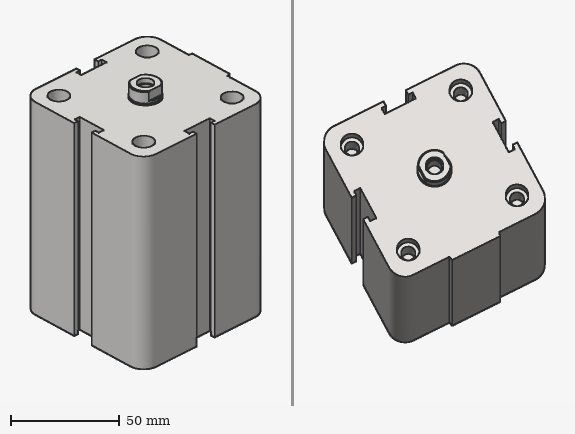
import cadquery as cq

SIDE = 80.0
HOUSING_HEIGHT = 115.0
CORNER_RADIUS = 8.5

RIB_HEIGHT = 2.0
RIB_BASE_WIDTH = 25.8
RIB_TOP_WIDTH = 25.0

SLOT_MOUTH_WIDTH = 11.5
SLOT_INNER_WIDTH = 16.2
SLOT_LIP = 2.5
SLOT_DEPTH = 5.6

HOLE_PITCH = 56.5
HOLE_DIAMETER = 6.6
COUNTERBORE_DIAMETER = 10.5
COUNTERBORE_DEPTH = 6.6
HOLE_DEPTH = 19.6

TOTAL_HEIGHT = 122.5
SHANK_DIAMETER = 16.0
SHANK_PROTRUSION = 1.0
NECK_DIAMETER = 15.5
NECK_CHAMFER = 0.5
FLATS_WIDTH = 13.0
FLATS_LENGTH = 5.3
ROD_SOCKET_DEPTH = 14.7
ROD_BOTTOM = HOUSING_HEIGHT - ROD_SOCKET_DEPTH
SHANK_TOP = HOUSING_HEIGHT + SHANK_PROTRUSION

BORE_DIAMETER = 8.2
BORE_DEPTH = 2.7
THREAD_DIAMETER = 6.6
THREAD_DEPTH = 12.2


def cylinder(diameter, bottom, top):
    return cq.Workplane("XY").workplane(offset=bottom).circle(diameter / 2).extrude(top - bottom)


def rib():
    """Trapezoidal rib on the +Y side, running the full height."""
    base_y = SIDE / 2
    return (
        cq.Workplane("XY")
        .moveTo(-RIB_BASE_WIDTH / 2, 0)
        .lineTo(-RIB_BASE_WIDTH / 2, base_y)
        .lineTo(-RIB_TOP_WIDTH / 2, base_y + RIB_HEIGHT)
        .lineTo(RIB_TOP_WIDTH / 2, base_y + RIB_HEIGHT)
        .lineTo(RIB_BASE_WIDTH / 2, base_y)
        .lineTo(RIB_BASE_WIDTH / 2, 0)
        .close()
        .extrude(HOUSING_HEIGHT)
    )


def t_slot(angle):
    """T-slot cutter for the -Y side, turned about Z by the given angle."""
    outer_y = -SIDE / 2
    floor_y = outer_y + SLOT_DEPTH
    lip_y = outer_y + SLOT_LIP
    mouth = cq.Workplane("XY").rect(SLOT_MOUTH_WIDTH, 2 * SLOT_LIP).extrude(HOUSING_HEIGHT)
    channel = cq.Workplane("XY").rect(SLOT_INNER_WIDTH, floor_y - lip_y).extrude(HOUSING_HEIGHT)
    slot = mouth.translate((0, outer_y, 0)).union(channel.translate((0, (lip_y + floor_y) / 2, 0)))
    return slot.rotate((0, 0, 0), (0, 0, 1), angle)


def stepped_hole(top, wide_diameter, wide_depth, narrow_diameter, narrow_depth):
    """Blind hole on the Z axis, both depths measured down from its top."""
    narrow = cylinder(narrow_diameter, top - narrow_depth, top)
    return narrow.union(cylinder(wide_diameter, top - wide_depth, top))


def make_housing():
    body = cq.Workplane("XY").rect(SIDE, SIDE).extrude(HOUSING_HEIGHT)
    body = body.edges("|Z").fillet(CORNER_RADIUS).union(rib())
    for angle in (-90, 0, 90):
        body = body.cut(t_slot(angle))
    corner_hole = stepped_hole(
        HOUSING_HEIGHT, COUNTERBORE_DIAMETER, COUNTERBORE_DEPTH, HOLE_DIAMETER, HOLE_DEPTH
    )
    for x in (-HOLE_PITCH / 2, HOLE_PITCH / 2):
        for y in (-HOLE_PITCH / 2, HOLE_PITCH / 2):
            body = body.cut(corner_hole.translate((x, y, 0)))
    return body.cut(cylinder(SHANK_DIAMETER, ROD_BOTTOM, HOUSING_HEIGHT))


def wrench_flat(side):
    """Cutter for the flat facing +X (side = 1) or -X (side = -1)."""
    cutter_thickness = NECK_DIAMETER - FLATS_WIDTH
    center_x = side * (FLATS_WIDTH + cutter_thickness) / 2
    return (
        cq.Workplane("XY")
        .workplane(offset=TOTAL_HEIGHT - FLATS_LENGTH)
        .center(center_x, 0)
        .rect(cutter_thickness, NECK_DIAMETER)
        .extrude(FLATS_LENGTH)
    )


def make_rod():
    neck = cylinder(NECK_DIAMETER, SHANK_TOP, TOTAL_HEIGHT).faces(">Z").chamfer(NECK_CHAMFER)
    for side in (-1, 1):
        neck = neck.cut(wrench_flat(side))
    shank_chamfer = (SHANK_DIAMETER - NECK_DIAMETER) / 2
    shank = cylinder(SHANK_DIAMETER, ROD_BOTTOM, SHANK_TOP).faces(">Z").chamfer(shank_chamfer)
    rod = shank.union(neck)
    return rod.cut(stepped_hole(TOTAL_HEIGHT, BORE_DIAMETER, BORE_DEPTH, THREAD_DIAMETER, THREAD_DEPTH))


housing = make_housing()
rod = make_rod()

result = cq.Compound.makeCompound([housing.val(), rod.val()])